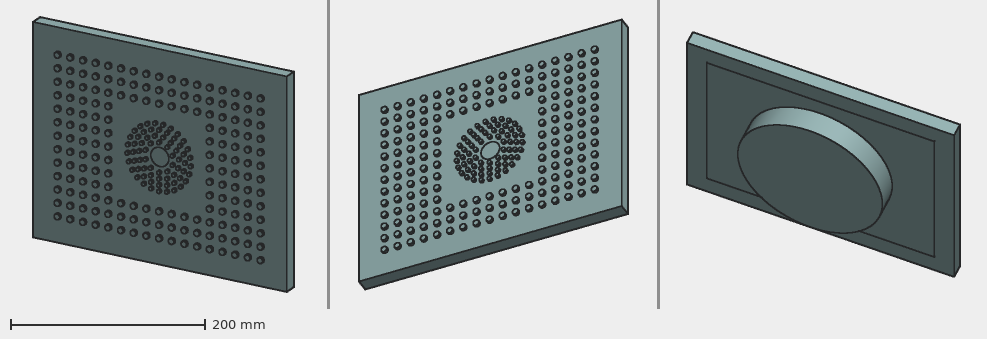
import cadquery as cq
import math

plate_width = 300.0
plate_height = 240.0
plate_thickness = 15.3
nozzle_length = 3.0

large_nozzle_diameter = 6.5
grid_pitch = 15.0
grid_half_columns = 8
grid_half_rows = 6
empty_half_cells = 3

small_nozzle_diameter = 4.2
first_ring_radius = 16.8
ring_spacing = 7.0
ring_count = 4
first_ring_nozzles = 10
extra_nozzles_per_ring = 5

plug_diameter = 21.3

sheet_thickness = 3.0
sheet_margin = 4.5

neck_diameter = 115.2
neck_thickness = 1.8
base_diameter = 162.5
base_thickness = 25.2

front_y = 0.0
back_y = front_y + plate_thickness
nozzle_tip_y = front_y - nozzle_length
sheet_y = back_y - sheet_thickness

grid_half_width = grid_half_columns * grid_pitch
grid_half_height = grid_half_rows * grid_pitch
empty_half_width = (empty_half_cells + 1) * grid_pitch
last_ring_radius = first_ring_radius + (ring_count - 1) * ring_spacing


def cylinder_along_y(diameter, start_y, end_y, centers=((0, 0),)):
    """Round bars from start_y to end_y, one at each (x, z) centre."""
    plane = cq.Workplane("XZ", origin=(0, start_y, 0))
    return plane.pushPoints(list(centers)).circle(diameter / 2).extrude(start_y - end_y)


def block_along_y(width, height, start_y, end_y):
    """Rectangular block centred on the Y axis, from start_y to end_y."""
    return cq.Workplane("XZ", origin=(0, start_y, 0)).rect(width, height).extrude(start_y - end_y)


def grid_centers():
    """Grid points outside the empty square in the middle."""
    return [
        (column * grid_pitch, row * grid_pitch)
        for column in range(-grid_half_columns, grid_half_columns + 1)
        for row in range(-grid_half_rows, grid_half_rows + 1)
        if max(abs(column), abs(row)) > empty_half_cells
    ]


def ring_centers():
    """Evenly spaced points on each ring, starting straight below the centre."""
    centers = []
    for ring in range(ring_count):
        radius = first_ring_radius + ring * ring_spacing
        nozzles = first_ring_nozzles + ring * extra_nozzles_per_ring
        for index in range(nozzles):
            angle = 2 * math.pi * index / nozzles
            centers.append((radius * math.sin(angle), -radius * math.cos(angle)))
    return centers


def make_large_nozzle_sheet():
    """Rectangular frame that carries the large nozzles."""
    outer_growth = large_nozzle_diameter / 2 + sheet_margin
    width = 2 * (grid_half_width + outer_growth)
    height = 2 * (grid_half_height + outer_growth)
    opening = 2 * (empty_half_width - outer_growth)
    frame = block_along_y(width, height, sheet_y, back_y)
    frame = frame.cut(block_along_y(opening, opening, sheet_y, back_y))
    return frame.union(cylinder_along_y(large_nozzle_diameter, nozzle_tip_y, back_y, grid_centers()))


def make_small_nozzle_sheet():
    """Round washer that carries the small nozzles, with the plug through its middle."""
    diameter = 2 * last_ring_radius + small_nozzle_diameter + 2 * sheet_margin
    washer = cylinder_along_y(diameter, sheet_y, back_y)
    washer = washer.cut(cylinder_along_y(plug_diameter, sheet_y, back_y))
    return washer.union(cylinder_along_y(small_nozzle_diameter, nozzle_tip_y, back_y, ring_centers()))


def make_plate(inserts):
    """Flat plate with a matching opening for each insert."""
    plate = block_along_y(plate_width, plate_height, front_y, back_y)
    for insert in inserts:
        plate = plate.cut(insert)
    return plate


def make_mount():
    """Wide round base on a short neck."""
    base_y = back_y + neck_thickness
    neck = cylinder_along_y(neck_diameter, back_y, base_y)
    return neck.union(cylinder_along_y(base_diameter, base_y, base_y + base_thickness))


large_nozzle_sheet = make_large_nozzle_sheet()
small_nozzle_sheet = make_small_nozzle_sheet()
plug = cylinder_along_y(plug_diameter, front_y, back_y)
plate = make_plate([large_nozzle_sheet, small_nozzle_sheet, plug])
mount = make_mount()

result = cq.Compound.makeCompound(
    [plate.val(), plug.val(), large_nozzle_sheet.val(), small_nozzle_sheet.val(), mount.val()]
)